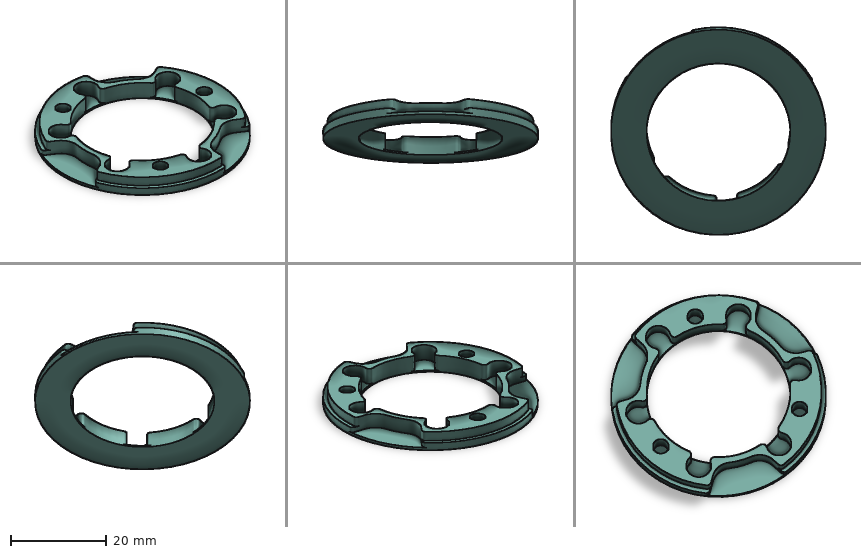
import cadquery as cq
import math

outer_radius = 22.6
upper_radius = 21.65
bore_radius = 15.1
floor_top = 0.65
slot_floor = 0.35
step_top = 1.75
total_height = 3.9

pocket_count = 3
pocket_inner_radius = 16.5
pocket_apex_radius = 6.85
pocket_half_angle = math.radians(30)
pocket_inner_fillet = 4.05
pocket_corner_fillet = 0.9
rim_corner_limit = 21.25
pocket_reach = 27.1

hole_circle_radius = 17.55
slot_count = 6
slot_radius = 2.6
slot_lip_radius = 0.9
pin_count = 3
pin_diameter = 3.3

final_turn = -90


def cylinder(radius, bottom, top):
    return cq.Workplane("XY").workplane(offset=bottom).circle(radius).extrude(top - bottom)


def around_axis(tool, count, start_angle):
    """Copies of a tool spaced evenly around the Z axis."""
    copies = cq.Workplane("XY")
    for i in range(count):
        angle = start_angle + i * 360 / count
        copies = copies.add(tool.rotate((0, 0, 0), (0, 0, 1), angle))
    return copies.combine()


def make_pocket():
    """Wedge outside the inner wall, with both inner corners rounded."""
    half_width = (pocket_reach - pocket_apex_radius) * math.tan(pocket_half_angle)
    wedge = (
        cq.Workplane("XY")
        .workplane(offset=floor_top)
        .moveTo(pocket_apex_radius, 0)
        .lineTo(pocket_reach, -half_width)
        .lineTo(pocket_reach, half_width)
        .close()
        .extrude(total_height - floor_top)
        .cut(cylinder(pocket_inner_radius, 0, total_height))
    )
    return wedge.edges("|Z and (not >X)").fillet(pocket_inner_fillet)


def make_tier(radius, bottom, top, pockets):
    """Disc with the pockets removed and its rim corners rounded."""
    tier = cylinder(radius, bottom, top).cut(pockets)
    rim_corners = [
        edge
        for edge in tier.edges("|Z").vals()
        if math.hypot(edge.Center().x, edge.Center().y) > rim_corner_limit
    ]
    return tier.newObject(rim_corners).fillet(pocket_corner_fillet)


def make_slot():
    """Round slot whose mouth is eased by lips tangent to the slot and the bore."""
    lip_distance = bore_radius + slot_lip_radius
    centre_distance = slot_radius + slot_lip_radius
    lip_x = (lip_distance**2 + hole_circle_radius**2 - centre_distance**2) / (2 * hole_circle_radius)
    lip_y = math.sqrt(lip_distance**2 - lip_x**2)

    bore_x = lip_x * bore_radius / lip_distance
    bore_y = lip_y * bore_radius / lip_distance
    slot_share = slot_radius / centre_distance
    touch_x = hole_circle_radius + (lip_x - hole_circle_radius) * slot_share
    touch_y = lip_y * slot_share

    middle_x = (bore_x + touch_x) / 2 - lip_x
    middle_y = (bore_y + touch_y) / 2 - lip_y
    scale = slot_lip_radius / math.hypot(middle_x, middle_y)
    middle_x = lip_x + middle_x * scale
    middle_y = lip_y + middle_y * scale

    return (
        cq.Workplane("XY")
        .workplane(offset=slot_floor)
        .moveTo(0, 0)
        .lineTo(bore_x, -bore_y)
        .threePointArc((middle_x, -middle_y), (touch_x, -touch_y))
        .threePointArc((hole_circle_radius + slot_radius, 0), (touch_x, touch_y))
        .threePointArc((middle_x, middle_y), (bore_x, bore_y))
        .close()
        .extrude(total_height - slot_floor)
    )


pockets = around_axis(make_pocket(), pocket_count, 0)
lower_tier = make_tier(outer_radius, floor_top, step_top, pockets)
upper_tier = make_tier(upper_radius, step_top, total_height, pockets)
body = cylinder(outer_radius, 0, floor_top).union(lower_tier).union(upper_tier)
body = body.cut(cylinder(bore_radius, 0, total_height))

body = body.cut(around_axis(make_slot(), slot_count, 180 / slot_count))
pin_hole = cylinder(pin_diameter / 2, slot_floor, total_height).translate((hole_circle_radius, 0, 0))
body = body.cut(around_axis(pin_hole, pin_count, 180 / pin_count))

result = body.rotate((0, 0, 0), (0, 0, 1), final_turn)